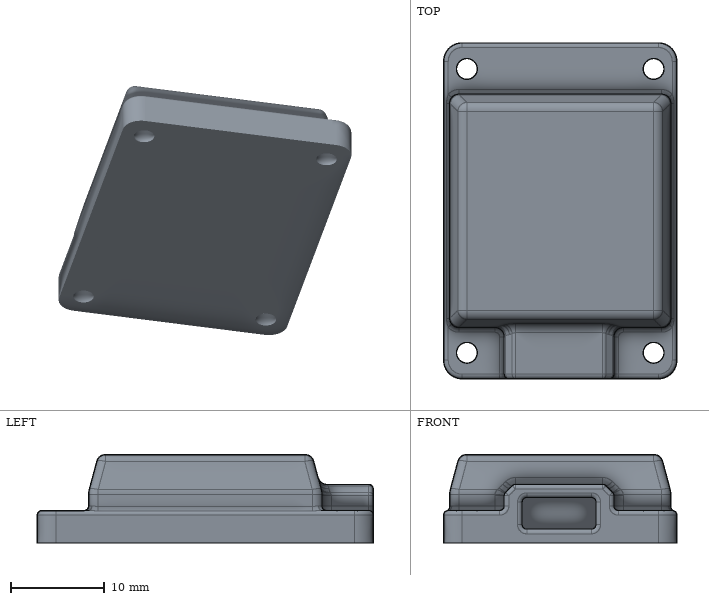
import cadquery as cq

base_x = 25.0
base_y = 36.0
base_z = 3.5
base_corner_radius = 2.0
rim_radius = 0.5

hole_diameter = 2.2
hole_spacing_x = 20.0
hole_spacing_y = 30.4

total_z = 9.5
cover_x = 23.7
cover_y = 25.0
straight_wall_top = 5.5
cover_taper = 15.0
cover_edge_radius = 1.0
cover_break_radius = 2.0
foot_radius = 0.5

hood_center_x = -0.125
hood_x = 11.75
hood_top = 6.3
hood_chamfer = 1.0
hood_edge_radius = 0.5
hood_blend_radius = 1.0

port_x = 7.9
port_bottom = 1.5
port_top = 4.9
port_corner_radius = 0.5
port_lip_radius = 0.5
port_depth = (base_y - cover_y) / 2

end_y = -base_y / 2
cover_front_y = -cover_y / 2
joint_y = (end_y + cover_front_y) / 2
tolerance = 0.01


def pick_edges(body, condition):
    """Select the edges of a body whose bounding box meets a condition."""
    edges = [edge for edge in body.edges().vals() if condition(edge.BoundingBox())]
    return body.newObject(edges)


def lies_at_height(box, height):
    return abs(box.zmin - height) < tolerance and abs(box.zmax - height) < tolerance


def lies_over_hood(box):
    return abs(box.center.x - hood_center_x) < hood_x / 2 + tolerance


def make_plate():
    plate = cq.Workplane("XY").box(base_x, base_y, base_z, centered=(True, True, False))
    return plate.edges("|Z").fillet(base_corner_radius)


def make_hood():
    hood = (
        cq.Workplane("XY")
        .box(hood_x, base_y / 2, hood_top, centered=(True, False, False))
        .translate((hood_center_x, end_y, 0))
    )
    hood = hood.edges(">Z and |Y").chamfer(hood_chamfer)
    chamfer_edges = pick_edges(
        hood,
        lambda box: box.zmin > base_z and box.ymax - box.ymin > tolerance,
    )
    return chamfer_edges.fillet(hood_edge_radius)


def make_cover():
    straight = cq.Workplane("XY").rect(cover_x, cover_y).extrude(straight_wall_top)
    tapered = (
        cq.Workplane("XY")
        .workplane(offset=straight_wall_top)
        .rect(cover_x, cover_y)
        .extrude(total_z - straight_wall_top, taper=cover_taper)
    )
    cover = straight.union(tapered)
    break_edges = pick_edges(cover, lambda box: lies_at_height(box, straight_wall_top))
    cover = break_edges.fillet(cover_break_radius)
    return cover.edges(">Z or (not #Z)").fillet(cover_edge_radius)


def keep_section(body, y_start, y_end):
    section = (
        cq.Workplane("XY")
        .box(base_x, y_end - y_start, total_z, centered=(True, False, False))
        .translate((0, y_start, 0))
    )
    return body.intersect(section)


def make_end_section():
    body = make_plate().union(make_hood())

    def is_hood_foot(box):
        return lies_at_height(box, base_z) and lies_over_hood(box) and box.ymin < joint_y < box.ymax

    body = pick_edges(body, is_hood_foot).fillet(foot_radius)

    def is_hood_end(box):
        return box.zmin > hood_top - tolerance and box.ymax < end_y + tolerance

    body = pick_edges(body, is_hood_end).fillet(rim_radius)
    return keep_section(body, end_y, joint_y)


def make_cover_section():
    plate = make_plate().faces(">Z").edges().fillet(rim_radius)
    body = plate.union(make_cover()).union(make_hood())

    def is_hood_blend(box):
        return (
            box.ymin > cover_front_y - tolerance
            and box.ymax < cover_front_y + hood_edge_radius
            and lies_over_hood(box)
            and box.zmax > base_z + tolerance
        )

    body = pick_edges(body, is_hood_blend).fillet(hood_blend_radius)

    def is_foot(box):
        return (
            lies_at_height(box, base_z)
            and abs(box.center.x) < cover_x / 2 + tolerance
            and box.ymin > end_y + rim_radius - tolerance
            and box.ymax < cover_y / 2 + tolerance
        )

    body = pick_edges(body, is_foot).fillet(foot_radius)
    return keep_section(body, joint_y, base_y / 2)


def cut_port(body):
    port = (
        cq.Workplane("XY")
        .box(port_x, port_depth, port_top - port_bottom, centered=(True, False, False))
        .translate((hood_center_x, end_y, port_bottom))
        .edges("|Y")
        .fillet(port_corner_radius)
    )
    body = body.cut(port)

    def is_port_mouth(box):
        return (
            box.ymax < end_y + tolerance
            and box.zmin > port_bottom - tolerance
            and box.zmax < port_top + tolerance
            and abs(box.center.x - hood_center_x) < port_x / 2 + tolerance
        )

    return pick_edges(body, is_port_mouth).fillet(port_lip_radius)


def cut_mounting_holes(body):
    holes = (
        cq.Workplane("XY")
        .rect(hole_spacing_x, hole_spacing_y, forConstruction=True)
        .vertices()
        .circle(hole_diameter / 2)
        .extrude(base_z)
    )
    return body.cut(holes)


result = make_end_section().union(make_cover_section()).clean()
result = cut_port(result)
result = cut_mounting_holes(result)